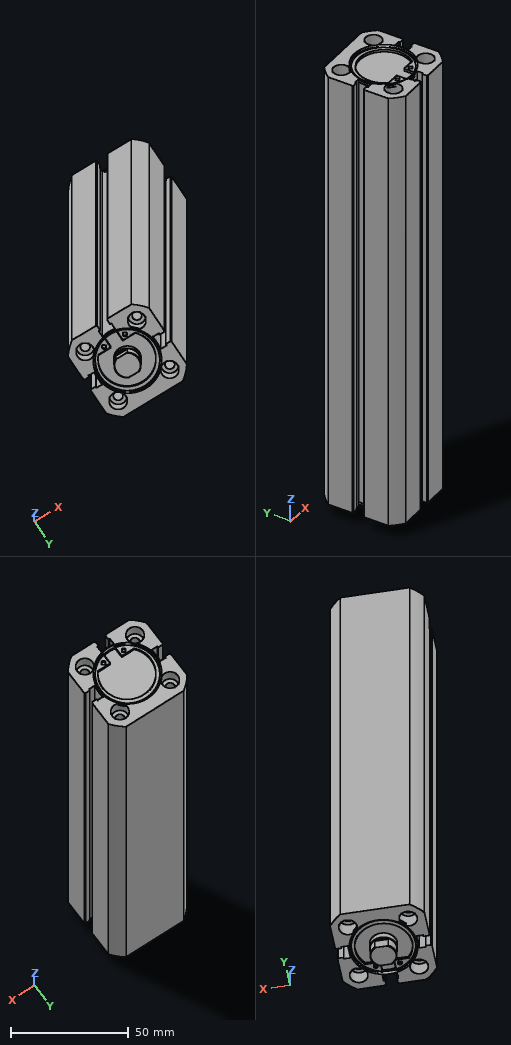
import cadquery as cq

total_length = 229.0
rod_projection = 6.2
tube_width = 41.0
corner_radius = 25.5
tube_bottom = rod_projection
tube_top = total_length
tube_length = tube_top - tube_bottom

bore_radius = 13.7
lead_in = 1.0
ring_thickness = 1.1
groove_radius = 14.7
cover_depth = lead_in + ring_thickness

bolt_pitch = 26.0
bolt_radius = 2.0
counterbore_radius = 4.0
counterbore_depth = 6.9

slot_floor = 14.9
slot_half_width = 3.2
mouth_half_width = 2.5
mouth_depth = 2.7
mouth_chamfer = 0.5

ring_outer_radius = 14.5
ring_inner_radius = 12.4
ring_eccentricity = 0.5
ear_inner_edge = 8.5
ear_half_gap = 3.0
ear_length = 6.9
ear_hole_spacing = 10.5
ear_hole_distance = 10.3
ear_hole_radius = 1.0

end_cover_thickness = 9.2
rod_cover_thickness = 23.0
piston_thickness = 18.3
rod_radius = 6.0
neck_radius = 5.7
neck_length = 5.3
flats_width = 9.8
flats_length = 4.5
tip_chamfer = 0.2


def cylinder(radius, bottom, height):
    return cq.Workplane("XY", origin=(0, 0, bottom)).circle(radius).extrude(height)


def bore_mouth(end, inward):
    """Cutter for the lead-in chamfer and ring groove at one tube end; inward is +1 or -1 along Z."""
    groove_start = end + inward * lead_in
    groove_end = end + inward * cover_depth
    outline = [
        (0, end),
        (bore_radius + lead_in, end),
        (bore_radius, groove_start),
        (groove_radius, groove_start),
        (groove_radius, groove_end),
        (0, groove_end),
    ]
    return cq.Workplane("XZ").polyline(outline).close().revolve(360, (0, 0, 0), (0, 1, 0))


def corner_holes(radius, bottom, depth):
    """Cutter for four equal holes on the bolt square."""
    square = cq.Workplane("XY", origin=(0, 0, bottom)).rect(bolt_pitch, bolt_pitch, forConstruction=True)
    return square.vertices().circle(radius).extrude(depth)


def sensor_slot():
    """Cutter for the slot in the -Y side: a chamfered mouth opening into a wider channel."""
    face = -tube_width / 2
    lip = face + mouth_depth
    right_half = [
        (mouth_half_width + mouth_chamfer, face),
        (mouth_half_width, face + mouth_chamfer),
        (mouth_half_width, lip),
        (slot_half_width, lip),
        (slot_half_width, -slot_floor),
    ]
    left_half = [(-x, y) for x, y in reversed(right_half)]
    profile = cq.Workplane("XY", origin=(0, 0, tube_bottom)).polyline(right_half + left_half)
    return profile.close().extrude(tube_length)


def make_tube():
    base = cq.Workplane("XY", origin=(0, 0, tube_bottom))
    tube = base.rect(tube_width, tube_width).extrude(tube_length)
    tube = tube.intersect(cylinder(corner_radius, tube_bottom, tube_length))
    tube = tube.cut(cylinder(bore_radius, tube_bottom, tube_length))

    tube = tube.cut(corner_holes(bolt_radius, tube_bottom, tube_length))
    for start in (tube_bottom, tube_top - counterbore_depth):
        tube = tube.cut(corner_holes(counterbore_radius, start, counterbore_depth))

    for angle in (-90, 0, 90):
        tube = tube.cut(sensor_slot().rotate((0, 0, 0), (0, 0, 1), angle))

    tube = tube.cut(bore_mouth(tube_top, -1))
    return tube.cut(bore_mouth(tube_bottom, 1))


def make_retaining_ring(bottom):
    """C-shaped ring with two drilled ears beside its gap on the -Y side."""
    plane = cq.Workplane("XY", origin=(0, 0, bottom))
    disc = plane.circle(ring_outer_radius).extrude(ring_thickness)
    opening = plane.center(0, -ring_eccentricity).circle(ring_inner_radius).extrude(ring_thickness)
    ring = disc.cut(opening)

    ear_height = ring_outer_radius - ear_inner_edge
    ear_x = ear_half_gap + ear_length / 2
    ear_y = -ear_inner_edge - ear_height / 2
    ear_centres = [(-ear_x, ear_y), (ear_x, ear_y)]
    ears = plane.pushPoints(ear_centres).rect(ear_length, ear_height).extrude(ring_thickness)
    ring = ring.union(ears.intersect(disc))

    gap = plane.center(0, ear_y).rect(2 * ear_half_gap, ear_height).extrude(ring_thickness)
    hole_x = ear_hole_spacing / 2
    hole_points = [(-hole_x, -ear_hole_distance), (hole_x, -ear_hole_distance)]
    holes = plane.pushPoints(hole_points).circle(ear_hole_radius).extrude(ring_thickness)
    return ring.cut(gap).cut(holes)


def make_end_cover():
    return cylinder(bore_radius, tube_top - cover_depth - end_cover_thickness, end_cover_thickness)


def make_rod_cover():
    start = tube_bottom + cover_depth
    cover = cylinder(bore_radius, start, rod_cover_thickness)
    return cover.cut(cylinder(rod_radius, start, rod_cover_thickness))


def make_piston_rod():
    """Rod with its piston retracted against the end cover, a slim neck and two wrench flats."""
    piston_bottom = tube_top - cover_depth - end_cover_thickness - piston_thickness
    rod = cylinder(neck_radius, 0, neck_length).faces("<Z").chamfer(tip_chamfer)
    rod = rod.union(cylinder(rod_radius, neck_length, piston_bottom - neck_length))
    flat_depth = neck_radius - flats_width / 2
    flat_y = (flats_width + flat_depth) / 2
    flats = cq.Workplane("XY").pushPoints([(0, -flat_y), (0, flat_y)])
    rod = rod.cut(flats.rect(2 * neck_radius, flat_depth).extrude(flats_length))
    return rod.union(cylinder(bore_radius, piston_bottom, piston_thickness))


tube = make_tube()
end_cover = make_end_cover()
rod_cover = make_rod_cover()
piston_rod = make_piston_rod()
ring_bottoms = (tube_bottom + lead_in, tube_top - cover_depth)
retaining_rings = [make_retaining_ring(bottom) for bottom in ring_bottoms]

result = cq.Compound.makeCompound(
    [
        tube.val(),
        end_cover.val(),
        rod_cover.val(),
        piston_rod.val(),
        *[ring.val() for ring in retaining_rings],
    ]
)